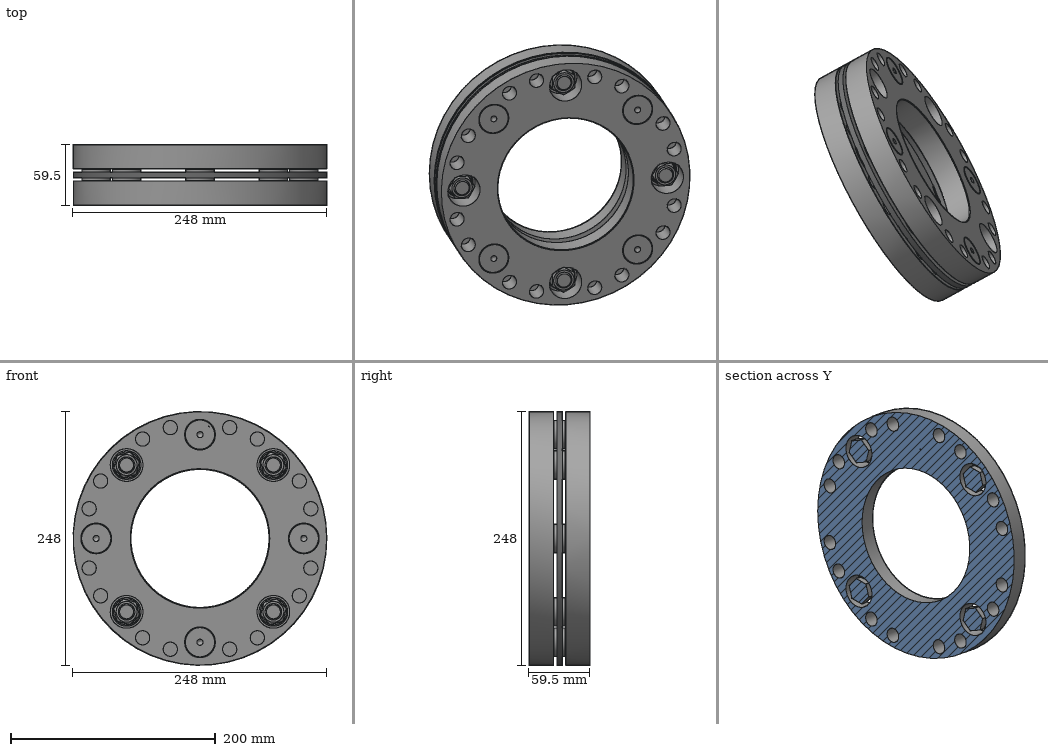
import cadquery as cq
import math

outer_diameter = 248.0
length = 59.5

pack_thickness = 5.5
pack_bore = 160.0
sheet_count = 8

flange_bore = 135.0
rim_chamfer = 0.37
bore_chamfer = 0.7
gap = 3.0

bolt_circle_radius = 101.5
bolts_per_flange = 4
bolt_spacing = 360 / bolts_per_flange
half_spacing = bolt_spacing / 2

washer_diameter = 28.0
washer_chamfer_width = 1.2
washer_chamfer_height = 0.5

nut_pocket_diameter = 32.0
nut_across_flats = 22.5
nut_chamfer_diameter = 20.3
nut_chamfer_angle = 30
nut_depth = 9.2
stud_diameter = 16.0
stud_chamfer = 1.2

head_hole_diameter = 30.0
head_diameter = 29.5
head_chamfer = 0.5
head_height = 10.0
center_mark_diameter = 6.0
center_mark_depth = 1.7

plain_hole_diameter = 14.0
plain_hole_circle_radius = 112.0
plain_hole_step = 15

pack_face = pack_thickness / 2
flange_inner_face = pack_face + gap
flange_face = length / 2
head_seat = flange_face - head_height
nut_end = flange_face - nut_depth


def disc(diameter, start, end):
    """Cylinder on the coupling axis between two distances in front of the middle plane."""
    return cq.Workplane("XZ", origin=(0, -start, 0)).circle(diameter / 2).extrude(end - start)


def around(body, radius, angle):
    """Move a body from the axis out to a radius, at an angle measured from +X."""
    return body.translate((radius, 0, 0)).rotate((0, 0, 0), (0, 1, 0), -angle)


def sheet_pack():
    """Stack of rings; the seams between them stay as edges on the rim."""
    sheet = pack_thickness / sheet_count
    rings = []
    for i in range(sheet_count):
        start = -pack_face + i * sheet
        end = start + sheet
        rings.append(disc(outer_diameter, start, end).cut(disc(pack_bore, start, end)))
    pack = rings[0]
    for ring in rings[1:]:
        pack = pack.union(ring, clean=False)
    return pack


def washer():
    """Spacer between the pack and a flange or nut, chamfered away from the pack."""
    body = disc(washer_diameter, pack_face, flange_inner_face)
    return body.faces("<Y").chamfer(washer_chamfer_height, washer_chamfer_width)


def nut_with_stud():
    """Hexagon nut with its corners chamfered, and the stud end standing out of it."""
    corner_diameter = nut_across_flats / math.cos(math.pi / 6)
    nut = (
        cq.Workplane("XZ", origin=(0, -flange_inner_face, 0))
        .polygon(6, corner_diameter)
        .extrude(nut_end - flange_inner_face)
    )
    chamfer_width = (corner_diameter - nut_chamfer_diameter) / 2
    chamfer_height = chamfer_width * math.tan(math.radians(nut_chamfer_angle))
    envelope = disc(corner_diameter, flange_inner_face, nut_end)
    envelope = envelope.faces("<Y").chamfer(chamfer_height, chamfer_width)
    stud = disc(stud_diameter, flange_inner_face, nut_end + stud_chamfer)
    stud = stud.faces("<Y").chamfer(stud_chamfer)
    return nut.intersect(envelope).union(stud)


def bolt_head():
    """Round head flush with the flange face, with a conical center mark."""
    head = disc(head_diameter, head_seat, flange_face).faces("<Y").chamfer(head_chamfer)
    mark = cq.Solid.makeCone(
        center_mark_diameter / 2, 0, center_mark_depth,
        pnt=cq.Vector(0, -flange_face, 0), dir=cq.Vector(0, 1, 0),
    )
    return head.cut(cq.Workplane(mark))


def flange_plate():
    """Ring plate with the nut pockets, the head holes and the plain holes."""
    plate = disc(outer_diameter, flange_inner_face, flange_face)
    plate = plate.faces(">Y").chamfer(rim_chamfer)
    plate = plate.cut(disc(flange_bore, flange_inner_face, flange_face))
    plate = plate.faces("<Y").edges(cq.selectors.RadiusNthSelector(0)).chamfer(bore_chamfer)

    pocket = disc(nut_pocket_diameter, flange_inner_face, flange_face)
    head_hole = disc(head_hole_diameter, head_seat, flange_face)
    for i in range(bolts_per_flange):
        plate = plate.cut(around(head_hole, bolt_circle_radius, i * bolt_spacing))
        plate = plate.cut(around(pocket, bolt_circle_radius, i * bolt_spacing + half_spacing))

    plain_hole = disc(plain_hole_diameter, flange_inner_face, flange_face)
    for i in range(round(360 / plain_hole_step)):
        angle = i * plain_hole_step
        if angle % half_spacing:
            plate = plate.cut(around(plain_hole, plain_hole_circle_radius, angle))
    return plate


def coupling_half():
    """Front half: the flange with everything that lies in front of the sheet pack."""
    half = flange_plate()
    nut_stack = washer().union(nut_with_stud())
    for i in range(bolts_per_flange):
        angle = i * bolt_spacing
        half = half.union(around(washer(), bolt_circle_radius, angle))
        half = half.union(around(bolt_head(), bolt_circle_radius, angle))
        half = half.union(around(nut_stack, bolt_circle_radius, angle + half_spacing))
    return half


front_half = coupling_half()
back_half = front_half.rotate((0, 0, 0), (0, 0, 1), 180).rotate((0, 0, 0), (0, 1, 0), half_spacing)

result = sheet_pack().union(front_half, clean=False).union(back_half, clean=False)